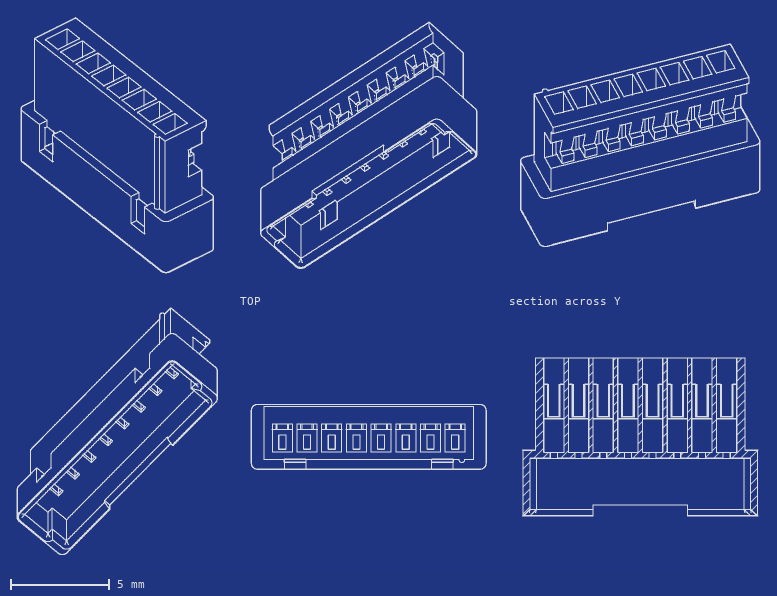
import cadquery as cq
import math


flange_length = 11.9
flange_depth = 3.3
flange_height = 3.32
flange_corner_radius = 0.32

total_height = 8.0
body_length = 10.61
body_front = 0.51
body_back = flange_depth - 0.4

lip_back = flange_depth - 0.11
lip_height = 0.6
lip_radius = lip_back - body_back

cell_count = 8
cell_pitch = 1.25
cell_width = 1.01
cell_front = flange_depth - 2.42
cell_back = flange_depth - 1.0
cell_floor = 3.21
pin_hole_width = 0.35
pin_hole_depth = 0.71
pin_hole_front = flange_depth - 2.27

recess_depth = 0.87
recess_top = total_height - 1.35
recess_bottom = total_height - 3.08
recess_floor = body_back - recess_depth
lance_width = 0.64
lance_notch_depth = 0.32
lance_notch_bottom = total_height - 2.43
lance_outer_bottom = total_height - 2.94
lance_inner_bottom = total_height - 2.99
ramp_width = 0.52

outer_wall = 0.37
cavity_height = 2.9
cavity_step_y = 1.95
cavity_step_width = 0.32
lead_in_height = 0.32
lead_in_angle = 45.0

notch_length = 4.76
notch_height = 0.54

slot_width = 1.08
slot_offset = 3.72
slot_bottom = 1.57

rib_x = 4.71
rib_radius = 0.14
rib_offset = 0.02


def block(length, front, back, bottom, top, x=0.0):
    """Box centred on x, between the given front, back, bottom and top planes."""
    size = (length, back - front, top - bottom)
    return cq.Workplane("XY").box(*size, centered=(True, False, False)).translate((x, front, bottom))


def extrude_along_x(profile, length, x=0.0):
    """Extrude a YZ profile symmetrically about the plane at x."""
    return profile.extrude(length / 2, both=True).translate((x, 0, 0))


def make_flange():
    flange = block(flange_length, 0, flange_depth, 0, flange_height)
    return flange.edges("|Z").fillet(flange_corner_radius)


def make_body():
    """Body with the rounded lip along its top back edge."""
    lip_bottom = total_height - lip_height
    arc_z = lip_bottom + lip_radius
    arc_reach = lip_radius * math.sqrt(0.5)
    profile = (
        cq.Workplane("YZ")
        .moveTo(body_front, cavity_height)
        .lineTo(body_front, total_height)
        .lineTo(lip_back, total_height)
        .lineTo(lip_back, arc_z)
        .threePointArc((body_back + arc_reach, arc_z - arc_reach), (body_back, lip_bottom))
        .lineTo(body_back, cavity_height)
        .close()
    )
    return extrude_along_x(profile, body_length)


def make_rib():
    """Rounded rib rising from the top of the flange to the top of the body."""
    rib = cq.Workplane("XY").circle(rib_radius).extrude(total_height - flange_height)
    return rib.translate((rib_x, body_front - rib_offset, flange_height))


def make_cavity():
    """Stepped cavity whose rim flares outwards into a lead-in."""
    wide = flange_length / 2 - outer_wall
    narrow = wide - cavity_step_width
    back = flange_depth - outer_wall
    outline = [
        (-wide, outer_wall),
        (wide, outer_wall),
        (wide, cavity_step_y),
        (narrow, cavity_step_y),
        (narrow, back),
        (-narrow, back),
        (-narrow, cavity_step_y),
        (-wide, cavity_step_y),
    ]
    plane = cq.Workplane("XY").workplane(offset=lead_in_height)
    straight = plane.polyline(outline).close().extrude(cavity_height - lead_in_height)
    lead_in = plane.polyline(outline).close().extrude(-lead_in_height, taper=-lead_in_angle)
    return straight.union(lead_in)


def make_notch():
    return block(notch_length, flange_depth - 2 * outer_wall, flange_depth, 0, notch_height)


def make_slot(x):
    return block(slot_width, 0, body_front, slot_bottom, flange_height, x)


def make_recess():
    return block(body_length, recess_floor, lip_back, recess_bottom, recess_top)


def make_cell(x):
    """Cell open at the top; below the recess its back wall stands further forward."""
    upper = block(cell_width, cell_front, cell_back, recess_bottom, total_height, x)
    lower = block(cell_width, cell_front, recess_floor, cell_floor, recess_bottom, x)
    return upper.union(lower)


def make_pin_hole(x):
    pin_hole_back = pin_hole_front + pin_hole_depth
    return block(pin_hole_width, pin_hole_front, pin_hole_back, cavity_height, cell_floor, x)


def make_lance(x):
    """Arm hanging from the top of the recess, with a groove ramping down its inner face."""
    arm_profile = (
        cq.Workplane("YZ")
        .moveTo(recess_floor, recess_top)
        .lineTo(body_back, recess_top)
        .lineTo(body_back - lance_notch_depth, lance_notch_bottom)
        .lineTo(body_back, lance_notch_bottom)
        .lineTo(body_back, lance_outer_bottom)
        .lineTo(recess_floor, lance_inner_bottom)
        .close()
    )
    ramp_profile = (
        cq.Workplane("YZ")
        .moveTo(recess_floor, recess_top)
        .lineTo(cell_back, recess_top)
        .lineTo(recess_floor, lance_inner_bottom)
        .close()
    )
    arm = extrude_along_x(arm_profile, lance_width, x)
    return arm.cut(extrude_along_x(ramp_profile, ramp_width, x))


cell_positions = [(i - (cell_count - 1) / 2) * cell_pitch for i in range(cell_count)]

result = make_flange().union(make_body()).union(make_rib())
result = result.cut(make_cavity()).cut(make_notch()).cut(make_recess())

for slot_x in (-slot_offset, slot_offset):
    result = result.cut(make_slot(slot_x))

for cell_x in cell_positions:
    result = result.cut(make_cell(cell_x)).cut(make_pin_hole(cell_x))
    result = result.union(make_lance(cell_x))